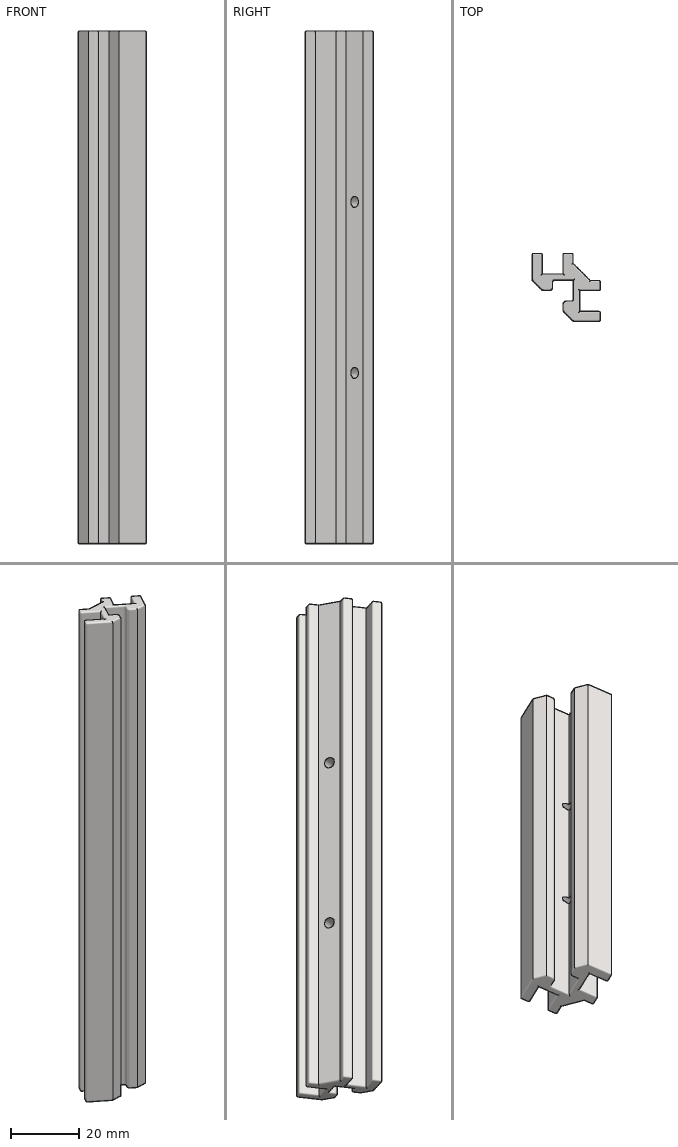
import cadquery as cq
import math

length = 150.0
width = 20.0
half_width = width / 2

wall = 3.0
slot_width = 6.0
slot_depth = 6.0
web_thickness = 2.0
slot_far_side = wall + slot_width
inner_arm_side = slot_far_side + wall
web_underside = slot_depth + web_thickness
stub_side = 6.0
stub_depth = web_underside + wall
bevel_start = stub_depth - wall
brace_start = wall

edge_radius = 0.48
stub_radius = 1.0

hole_diameter = 3.2
hole_count = 2
hole_pitch = length / (hole_count + 1)

position_tolerance = 0.02


def place(across, depth):
    """Point from its distance to the left side and to the top side."""
    return (across - half_width, half_width - depth)


def mirror(point):
    """Mirror a point in the line y = x, the symmetry line of the profile."""
    x, y = point
    return (y, x)


def round_corners(body, corners, radius):
    """Fillet the lengthwise edges at the given corners and at their mirror images."""
    targets = corners + [mirror(corner) for corner in corners]
    edges = []
    for edge in body.edges("|Z").vals():
        center = edge.Center()
        distances = [math.dist((center.x, center.y), target) for target in targets]
        if min(distances) < position_tolerance:
            edges.append(edge)
    return body.newObject(edges).fillet(radius)


arm_tips = [
    place(inner_arm_side, 0),
    place(slot_far_side, 0),
    place(wall, 0),
    place(0, 0),
]
stub_tip = place(stub_side, stub_depth)
stub_root = place(stub_side, web_underside)
inner_corner = place(width - web_underside, web_underside)

half_outline = [
    place(inner_arm_side, brace_start),
    arm_tips[0],
    arm_tips[1],
    place(slot_far_side, slot_depth),
    place(wall, slot_depth),
    arm_tips[2],
    arm_tips[3],
    place(0, bevel_start),
    place(stub_depth - bevel_start, stub_depth),
    stub_tip,
    stub_root,
]
other_half = [mirror(point) for point in reversed(half_outline)]
outline = half_outline + [inner_corner] + other_half

bar = cq.Workplane("XY").polyline(outline).close().extrude(length)
bar = round_corners(bar, arm_tips, edge_radius)
bar = round_corners(bar, [stub_root], edge_radius)
bar = round_corners(bar, [stub_tip], stub_radius)
bar = bar.faces("<Z or >Z").edges().fillet(edge_radius)

hole_plane = cq.Plane(origin=inner_corner + (0,), xDir=(0, 0, 1), normal=(1, 1, 0))
hole_centers = [(hole_pitch * (index + 1), 0) for index in range(hole_count)]
holes = (
    cq.Workplane(hole_plane)
    .pushPoints(hole_centers)
    .circle(hole_diameter / 2)
    .extrude(width / 2, both=True)
)

result = bar.cut(holes)